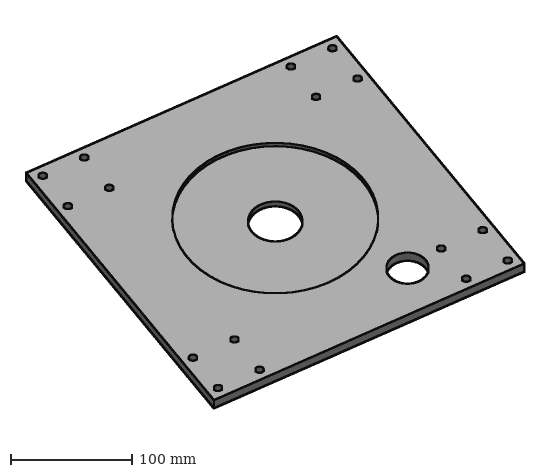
import cadquery as cq

PLATE_LENGTH = 300.0
PLATE_WIDTH = 299.08
PLATE_THICKNESS = 10.0

RECESS_DIAMETER = 170.0
RECESS_DEPTH = 4.0
CENTRE_BORE_DIAMETER = 45.0

SIDE_HOLE_DIAMETER = 35.0
SIDE_HOLE_X = 104.7
SIDE_HOLE_Y = 64.3

SCREW_HOLE_DIAMETER = 7.0
SCREW_EDGE_MARGIN = 10.0
SCREW_PITCH = 40.0


def make_plate():
    """Flat plate centred on the origin, with its underside at Z = 0."""
    return cq.Workplane("XY").box(
        PLATE_LENGTH, PLATE_WIDTH, PLATE_THICKNESS, centered=(True, True, False)
    )


def round_cutter(diameter, bottom_z, centres):
    """Cylinders at the given centres, from bottom_z up to the top face."""
    return (
        cq.Workplane("XY", origin=(0, 0, bottom_z))
        .pushPoints(centres)
        .circle(diameter / 2)
        .extrude(PLATE_THICKNESS - bottom_z)
    )


def screw_offsets(plate_side):
    """Screw hole positions along one axis, mirrored about the plate centre."""
    outer = plate_side / 2 - SCREW_EDGE_MARGIN
    inner = outer - SCREW_PITCH
    return [-outer, -inner, inner, outer]


def screw_hole_centres():
    """Every pairing of the X and Y screw hole positions."""
    return [(x, y) for x in screw_offsets(PLATE_LENGTH) for y in screw_offsets(PLATE_WIDTH)]


recess = round_cutter(RECESS_DIAMETER, PLATE_THICKNESS - RECESS_DEPTH, [(0, 0)])
centre_bore = round_cutter(CENTRE_BORE_DIAMETER, 0, [(0, 0)])
side_hole = round_cutter(SIDE_HOLE_DIAMETER, 0, [(SIDE_HOLE_X, SIDE_HOLE_Y)])
screw_holes = round_cutter(SCREW_HOLE_DIAMETER, 0, screw_hole_centres())

result = make_plate().cut(recess).cut(centre_bore).cut(side_hole).cut(screw_holes)